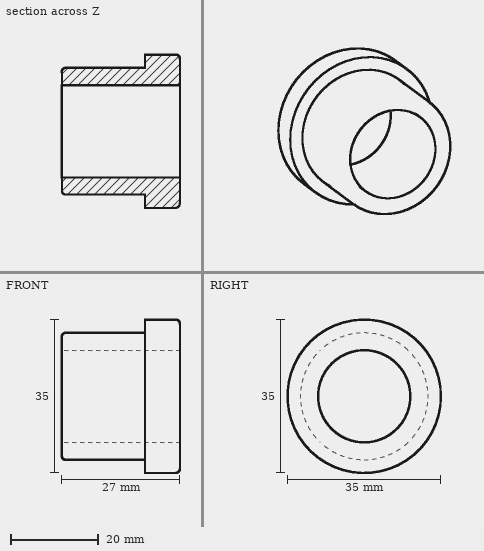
import cadquery as cq

total_length = 27.0
flange_length = 8.0
flange_diameter = 35.0
sleeve_diameter = 29.0
bore_diameter = 20.95
edge_radius = 1.0

sleeve_length = total_length - flange_length


def rounded_cylinder(start, length, diameter, rounded_end):
    """Cylinder along X with the outer edge of one end face rounded."""
    cylinder = cq.Workplane("YZ").workplane(offset=start).circle(diameter / 2).extrude(length)
    return cylinder.faces(rounded_end).edges().fillet(edge_radius)


sleeve = rounded_cylinder(0, sleeve_length, sleeve_diameter, "<X")
flange = rounded_cylinder(sleeve_length, flange_length, flange_diameter, ">X")
bore = cq.Workplane("YZ").circle(bore_diameter / 2).extrude(total_length)

result = sleeve.union(flange).cut(bore)